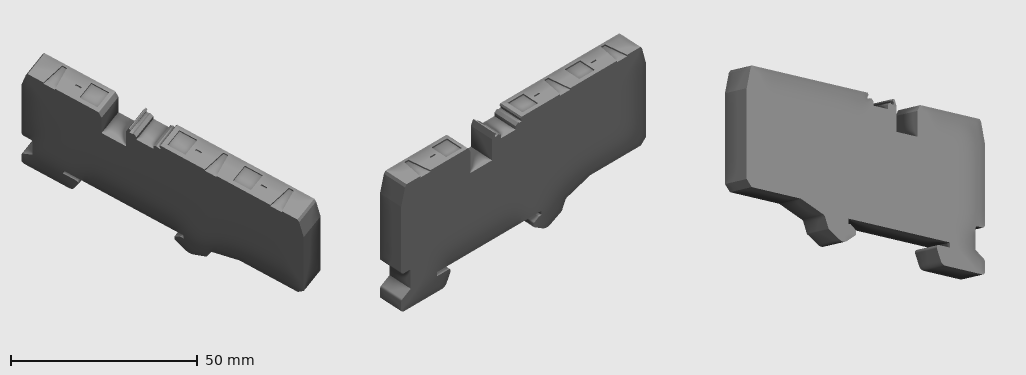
import cadquery as cq

LENGTH = 90.5
THICKNESS = 8.2
HEIGHT = 42.6

SHOULDER_Z = 36.0
BEVEL_Z = 41.8
END_LEAN = 1.45
END_INSET = 2.0
LEDGE_Z = 12.9
LEDGE_RADIUS = 1.0
NECK_X = 3.55
NECK_RADIUS = 0.5
RAIL_SEAT_Z = 6.7
UNDERSIDE_Z = 9.1
UNDERSIDE_CHAMFER = 1.9
RAMP_TOP_X = 69.9
RAMP_BOTTOM_X = 60.9
RAMP_BOTTOM_Z = 6.05

HOOK_TOP_Z = 5.3
FIXED_SLOT_X = 13.3
FIXED_TIP_X = 18.8
FIXED_BASE_X = 16.3
FIXED_TIP_RADIUS = 0.8
FIXED_BASE_RADIUS = 1.9
FIXED_HEEL_Z = 4.15
FIXED_HEEL_TOP_Z = 6.3
FIXED_CORNER_RADIUS = 1.0
LATCH_SLOT_X = 51.9
LATCH_HOOK_X = 51.0
LATCH_NOSE_X = 49.0
LATCH_NOSE_TOP_Z = 4.0
LATCH_NOSE_BOTTOM_Z = 2.7
LATCH_NOSE_RADIUS = 0.6
LATCH_APEX_X = 53.75
LATCH_APEX_Z = -0.45
LATCH_SOLE_RADIUS = 2.8
LATCH_HEEL_X = 59.4
LATCH_HEEL_Z = 2.6
LATCH_HEEL_RADIUS = 0.5
LATCH_CREASE_RADIUS = 1.0

SLOT_LEFT_X = 25.7
SLOT_RIGHT_X = 33.6
SLOT_FLOOR_Z = 33.7
SLOT_BEVEL_Z = 40.8
SLOT_LEFT_FLARE = 1.0
SLOT_RIGHT_FLARE = 0.8
SLOT_MOUTH_RADIUS = 0.4

GROOVE_CENTRE_X = 39.6
GROOVE_FLOOR_HALF = 2.7
GROOVE_FLOOR_Z = 39.4
GROOVE_STEP_Z = 40.6
GROOVE_RIDGE_HALF = 3.6
GROOVE_RIDGE_Z = 41.3
GROOVE_SEAT_HALF = 4.1
GROOVE_SEAT_Z = 41.0
GROOVE_UNDERCUT_HALF = 4.95
GROOVE_UNDERCUT_Z = 41.5
GROOVE_LIP_HALF = 4.6
GROOVE_LIP_Z = 42.1

RECESS_DEPTH = 0.5
SQUARE_SIDE = 5.75
SMALL_SLOT_LENGTH = 1.9
SMALL_SLOT_WIDTH = 0.5
WEDGE_FRONT_WIDTH = 3.75
WEDGE_BACK_WIDTH = 1.5
WEDGE_BACK_MARGIN = 0.8
SLOT_FROM_WEDGE = 6.6
SQUARE_FROM_WEDGE = 11.75
CLAMP_POINTS = [(8.95, 1), (60.65, -1), (81.65, -1)]


def prism(outline):
    """Extrude an XZ outline through the full thickness."""
    return cq.Workplane("XZ").polyline(outline).close().extrude(THICKNESS / 2, both=True)


def round_corners(solid, corners, radius):
    """Round the through-thickness edges at the given XZ corners."""
    for x, z in corners:
        edge = solid.edges("|Y").edges(cq.selectors.NearestToPointSelector((x, 0, z)))
        solid = edge.fillet(radius)
    return solid


def housing_with_feet():
    ledge_corner = (0, LEDGE_Z)
    neck_top = (NECK_X, LEDGE_Z)
    heel_corner = (0, FIXED_HEEL_Z)
    base_left = (0, 0)
    base_right = (FIXED_BASE_X, 0)
    fixed_tip = (FIXED_TIP_X, HOOK_TOP_Z)
    nose_top = (LATCH_NOSE_X, LATCH_NOSE_TOP_Z)
    nose_bottom = (LATCH_NOSE_X, LATCH_NOSE_BOTTOM_Z)
    apex = (LATCH_APEX_X, LATCH_APEX_Z)
    latch_heel = (LATCH_HEEL_X, LATCH_HEEL_Z)
    ramp_bottom = (RAMP_BOTTOM_X, RAMP_BOTTOM_Z)

    body = prism([
        (END_LEAN, BEVEL_Z),
        (END_INSET, HEIGHT),
        (LENGTH - END_INSET, HEIGHT),
        (LENGTH - END_LEAN, BEVEL_Z),
        (LENGTH, SHOULDER_Z),
        (LENGTH, UNDERSIDE_Z + UNDERSIDE_CHAMFER),
        (LENGTH - UNDERSIDE_CHAMFER, UNDERSIDE_Z),
        (RAMP_TOP_X, UNDERSIDE_Z),
        ramp_bottom,
        latch_heel,
        apex,
        nose_bottom,
        nose_top,
        (LATCH_HOOK_X, HOOK_TOP_Z),
        (LATCH_SLOT_X, HOOK_TOP_Z),
        (LATCH_SLOT_X, RAIL_SEAT_Z),
        (FIXED_SLOT_X, RAIL_SEAT_Z),
        (FIXED_SLOT_X, HOOK_TOP_Z),
        fixed_tip,
        base_right,
        base_left,
        heel_corner,
        (NECK_X, FIXED_HEEL_TOP_Z),
        neck_top,
        ledge_corner,
        (0, SHOULDER_Z),
    ])
    body = round_corners(body, [ledge_corner], LEDGE_RADIUS)
    body = round_corners(body, [neck_top], NECK_RADIUS)
    body = round_corners(body, [base_left, heel_corner], FIXED_CORNER_RADIUS)
    body = round_corners(body, [base_right], FIXED_BASE_RADIUS)
    body = round_corners(body, [fixed_tip], FIXED_TIP_RADIUS)
    body = round_corners(body, [nose_top, nose_bottom], LATCH_NOSE_RADIUS)
    body = round_corners(body, [apex], LATCH_SOLE_RADIUS)
    body = round_corners(body, [latch_heel], LATCH_HEEL_RADIUS)
    return round_corners(body, [ramp_bottom], LATCH_CREASE_RADIUS)


def cut_deep_slot(body):
    mouth_left = (SLOT_LEFT_X - SLOT_LEFT_FLARE, HEIGHT)
    slot = prism([
        mouth_left,
        (SLOT_LEFT_X, SLOT_BEVEL_Z),
        (SLOT_LEFT_X, SLOT_FLOOR_Z),
        (SLOT_RIGHT_X, SLOT_FLOOR_Z),
        (SLOT_RIGHT_X, SLOT_BEVEL_Z),
        (SLOT_RIGHT_X + SLOT_RIGHT_FLARE, HEIGHT),
    ])
    return round_corners(body.cut(slot), [mouth_left], SLOT_MOUTH_RADIUS)


def cut_marker_groove(body):
    right_half = [
        (GROOVE_FLOOR_HALF, GROOVE_FLOOR_Z),
        (GROOVE_FLOOR_HALF, GROOVE_STEP_Z),
        (GROOVE_RIDGE_HALF, GROOVE_RIDGE_Z),
        (GROOVE_SEAT_HALF, GROOVE_SEAT_Z),
        (GROOVE_UNDERCUT_HALF, GROOVE_SEAT_Z),
        (GROOVE_UNDERCUT_HALF, GROOVE_UNDERCUT_Z),
        (GROOVE_LIP_HALF, GROOVE_LIP_Z),
        (GROOVE_UNDERCUT_HALF, HEIGHT),
    ]
    right_side = [(GROOVE_CENTRE_X + offset, z) for offset, z in right_half]
    left_side = [(GROOVE_CENTRE_X - offset, z) for offset, z in reversed(right_half)]
    return body.cut(prism(right_side + left_side))


def cut_clamp_point(body, wedge_x, side):
    """Cut one wedge, small slot and square into the top face."""
    top = cq.Workplane("XY", origin=(wedge_x, 0, HEIGHT))
    front_y = -THICKNESS / 2
    back_y = THICKNESS / 2 - WEDGE_BACK_MARGIN
    wedge = top.polyline([
        (-WEDGE_FRONT_WIDTH / 2, front_y),
        (WEDGE_FRONT_WIDTH / 2, front_y),
        (WEDGE_BACK_WIDTH / 2, back_y),
        (-WEDGE_BACK_WIDTH / 2, back_y),
    ]).close().extrude(-RECESS_DEPTH)
    small_slot = (
        top.center(side * SLOT_FROM_WEDGE, 0)
        .rect(SMALL_SLOT_LENGTH, SMALL_SLOT_WIDTH)
        .extrude(-RECESS_DEPTH)
    )
    square = (
        top.center(side * SQUARE_FROM_WEDGE, 0)
        .rect(SQUARE_SIDE, SQUARE_SIDE)
        .extrude(-RECESS_DEPTH)
    )
    return body.cut(wedge).cut(small_slot).cut(square)


result = housing_with_feet()
result = cut_deep_slot(result)
result = cut_marker_groove(result)
for clamp_x, clamp_side in CLAMP_POINTS:
    result = cut_clamp_point(result, clamp_x, clamp_side)